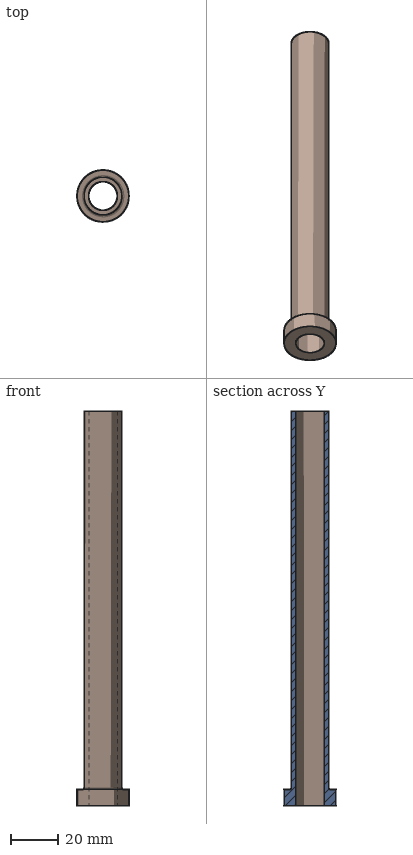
import cadquery as cq

total_length = 167.0
head_diameter = 22.0
head_height = 7.0
tube_diameter = 16.0
bore_diameter = 12.0
neck_fillet_radius = 0.7

head = cq.Workplane("XY").circle(head_diameter / 2).extrude(head_height)
tube = cq.Workplane("XY").circle(tube_diameter / 2).extrude(total_length)
body = head.union(tube)

neck_edge = cq.selectors.RadiusNthSelector(0)
body = body.faces(cq.selectors.NearestToPointSelector((0, 0, head_height))).edges(neck_edge)
body = body.fillet(neck_fillet_radius)

bore = cq.Workplane("XY").circle(bore_diameter / 2).extrude(total_length)
result = body.cut(bore)